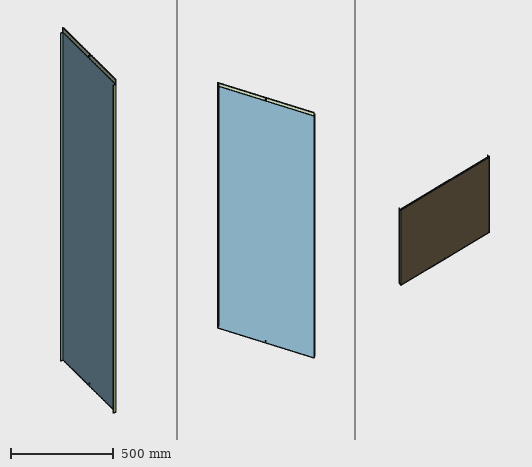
import cadquery as cq

width = 504.0
depth = 15.4
height = 1999.0

thickness = 1.0
hem_gap = 1.0
hem_front = -(2 * thickness + hem_gap)
hem_height = 28.0
flange_top = height - hem_height - thickness

hole_edge_distance = 15.0
hem_hole_diameter = 7.0
hem_hole_height = height - hole_edge_distance
bottom_hole_diameter = 5.0
bottom_hole_height = hole_edge_distance


def block(size_x, front, back, bottom, top, centre_x=0):
    """Box centred at centre_x between the given Y and Z limits."""
    return (
        cq.Workplane("XY")
        .box(size_x, back - front, top - bottom, centered=(True, False, False))
        .translate((centre_x, front, bottom))
    )


def through_hole(diameter, centre_z):
    """Cutter along Y, on the centre line, longer than the part is deep."""
    return (
        cq.Workplane("XZ")
        .center(0, centre_z)
        .circle(diameter / 2)
        .extrude(depth, both=True)
    )


result = block(width, -thickness, 0, 0, height)

flange_offset = (width - thickness) / 2
for side in (-1, 1):
    flange = block(thickness, -depth, 0, 0, flange_top, side * flange_offset)
    result = result.union(flange)

fold = block(width, hem_front, 0, height - thickness, height)
hem = block(width, hem_front, hem_front + thickness, height - hem_height, height)
result = result.union(fold).union(hem)

result = result.cut(through_hole(hem_hole_diameter, hem_hole_height))
result = result.cut(through_hole(bottom_hole_diameter, bottom_hole_height))